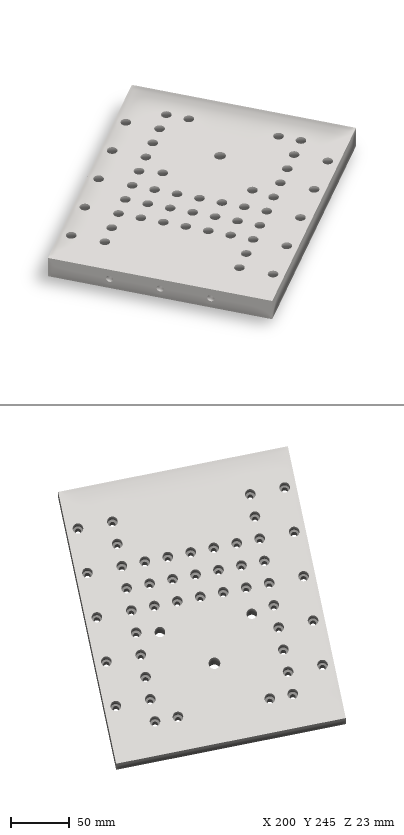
import cadquery as cq
import math

plate_width = 200.0
plate_length = 245.0
pitch = plate_width / 10
plate_thickness = pitch
overall_height = 23.0

boss_height = overall_height - plate_thickness
boss_face_diameter = 85.0
boss_base_diameter = boss_face_diameter + 2 * boss_height

row_count = 10
first_row_inset = 1.5 * pitch
first_row_y = plate_length / 2 - first_row_inset
inner_column = 3
outer_column_inset = pitch / 2
outer_column_x = plate_width / 2 - outer_column_inset
full_rows = (5, 6, 7)

counterbore_diameter = 9.0
counterbore_depth = plate_thickness / 2
inner_hole_diameter = 5.0
outer_hole_diameter = 5.5

pivot_diameter = 10.0
pivot_row = 2
locating_diameter = 9.0
locating_column = 2
locating_y = 16.2

edge_hole_diameter = 6.4
edge_hole_spacing = 45.0
edge_hole_depth = pitch
drill_tip_angle = 118


def row_y(row):
    """Y position of a row, counted downward from the one nearest the back edge."""
    return first_row_y - row * pitch


def drill(body, points, diameter):
    """Cut plain vertical holes through the plate and boss."""
    depth = plate_thickness + boss_height
    holes = (
        cq.Workplane("XY")
        .workplane(offset=-boss_height)
        .pushPoints(points)
        .circle(diameter / 2)
        .extrude(depth)
    )
    return body.cut(holes)


def counterbore(body, points, diameter):
    """Cut through holes that widen toward the top face."""
    wide_parts = (
        cq.Workplane("XY")
        .workplane(offset=plate_thickness - counterbore_depth)
        .pushPoints(points)
        .circle(counterbore_diameter / 2)
        .extrude(counterbore_depth)
    )
    return drill(body, points, diameter).cut(wide_parts)


plate = cq.Workplane("XY").box(plate_width, plate_length, plate_thickness, centered=(True, True, False))

pivot_center = (0, row_y(pivot_row))
boss = (
    cq.Workplane("XY")
    .center(*pivot_center)
    .circle(boss_base_diameter / 2)
    .workplane(offset=-boss_height)
    .circle(boss_face_diameter / 2)
    .loft(combine=True)
)
result = plate.union(boss)

inner_points = []
for side in (-1, 1):
    inner_points += [(side * inner_column * pitch, row_y(row)) for row in range(row_count)]
    inner_points.append((side * locating_column * pitch, row_y(0)))
for row in full_rows:
    inner_points += [(column * pitch, row_y(row)) for column in range(1 - inner_column, inner_column)]
result = counterbore(result, inner_points, inner_hole_diameter)

outer_points = [
    (side * outer_column_x, row_y(row)) for side in (-1, 1) for row in range(1, row_count, 2)
]
result = counterbore(result, outer_points, outer_hole_diameter)

result = drill(result, [pivot_center], pivot_diameter)
locating_points = [(side * locating_column * pitch, locating_y) for side in (-1, 1)]
result = drill(result, locating_points, locating_diameter)

edge_hole_radius = edge_hole_diameter / 2
tip_length = edge_hole_radius / math.tan(math.radians(drill_tip_angle / 2))
edge_hole = (
    cq.Workplane("XY", origin=(0, -plate_length / 2, plate_thickness / 2))
    .lineTo(edge_hole_radius, 0)
    .lineTo(edge_hole_radius, edge_hole_depth)
    .lineTo(0, edge_hole_depth + tip_length)
    .close()
    .revolve(360, (0, 0), (0, 1))
)
for step in (-1, 0, 1):
    result = result.cut(edge_hole.translate((step * edge_hole_spacing, 0, 0)))